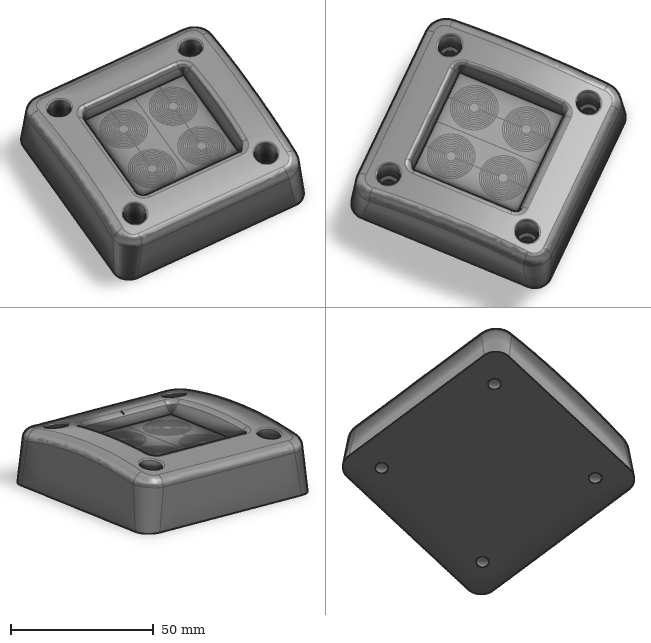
import cadquery as cq
import math

BASE_SIDE = 76.0
HEIGHT = 23.5
CROWN_RADIUS = 164.9
DRAFT_ANGLE = 3.0
BASE_CORNER_RADIUS = 6.1
TOP_CORNER_RADIUS = 8.35
RIM_FILLET = 4.0

WINDOW_SIDE = 40.0
FLOOR_HEIGHT = 17.1
WINDOW_DRAFT_ANGLE = 20.0
WINDOW_FLOOR_CORNER_RADIUS = 0.15
WINDOW_TOP_CORNER_RADIUS = 5.3
WINDOW_FILLET = 2.0

STRIP_COUNT = 4
MODULE_DEPTH = 3.8
LAYER_COUNT = 10
CORE_RADIUS = 1.75
LAYERS_RADIUS = 8.35

SCREW_OFFSET = 26.5
SCREW_DIAMETER = 4.5
COUNTERBORE_DIAMETER = 8.0
SEAT_HEIGHT = 9.9
COUNTERBORE_FILLET = 0.6

OVERLAP = 0.75

loft_top = HEIGHT + OVERLAP
module_bottom = FLOOR_HEIGHT - MODULE_DEPTH
strip_width = WINDOW_SIDE / STRIP_COUNT
module_offset = strip_width
layer_thickness = (LAYERS_RADIUS - CORE_RADIUS) / LAYER_COUNT


def corner_points(offset):
    return [(x, y) for x in (-offset, offset) for y in (-offset, offset)]


def rounded_square(side, radius, z):
    sketch = cq.Sketch().rect(side, side).vertices().fillet(radius)
    return sketch.moved(cq.Location(cq.Vector(0, 0, z)))


def square_loft(lower, upper):
    """Straight loft between two rounded squares."""
    return cq.Workplane("XY").placeSketch(lower, upper).loft(ruled=True)


def drafted_side(side, height, angle):
    """Side of a square after both walls have moved outwards by the draft."""
    return side + 2 * height * math.tan(math.radians(angle))


def crowned_frame():
    top_side = drafted_side(BASE_SIDE, -loft_top, DRAFT_ANGLE)
    block = square_loft(
        rounded_square(BASE_SIDE, BASE_CORNER_RADIUS, 0),
        rounded_square(top_side, TOP_CORNER_RADIUS, loft_top),
    )
    crown = (
        cq.Workplane("XZ", origin=(0, 0, HEIGHT - CROWN_RADIUS))
        .circle(CROWN_RADIUS)
        .extrude(BASE_SIDE, both=True)
    )
    return block.intersect(crown).faces(">Z").edges().fillet(RIM_FILLET)


def cut_screw_holes(body):
    centers = corner_points(SCREW_OFFSET)
    holes = cq.Workplane("XY").pushPoints(centers).circle(SCREW_DIAMETER / 2).extrude(HEIGHT)
    counterbores = (
        cq.Workplane("XY", origin=(0, 0, SEAT_HEIGHT))
        .pushPoints(centers)
        .circle(COUNTERBORE_DIAMETER / 2)
        .extrude(HEIGHT)
    )
    body = body.cut(holes).cut(counterbores)
    mouths = body.faces(">Z").val().innerWires()
    edges = [edge for mouth in mouths for edge in mouth.Edges()]
    return body.newObject(edges).fillet(COUNTERBORE_FILLET)


def cut_window(body):
    top_side = drafted_side(WINDOW_SIDE, loft_top - FLOOR_HEIGHT, WINDOW_DRAFT_ANGLE)
    window = square_loft(
        rounded_square(WINDOW_SIDE, WINDOW_FLOOR_CORNER_RADIUS, FLOOR_HEIGHT),
        rounded_square(top_side, WINDOW_TOP_CORNER_RADIUS, loft_top),
    )
    body = body.cut(window)
    mouth = max(body.faces(">Z").val().innerWires(), key=lambda wire: wire.Length())
    return body.newObject(mouth.Edges()).fillet(WINDOW_FILLET)


def module_disc(center, radius):
    return (
        cq.Workplane("XY", origin=(*center, module_bottom))
        .circle(radius)
        .extrude(MODULE_DEPTH)
    )


def module_block(width, center_y):
    return cq.Workplane("XY", origin=(0, center_y, module_bottom)).box(
        WINDOW_SIDE, width, MODULE_DEPTH, centered=(True, True, False)
    )


def module_strip(index):
    return module_block(strip_width, (index + 0.5) * strip_width - WINDOW_SIDE / 2)


def module_pieces():
    """Strips, half rings and cores that fill the window floor without gaps."""
    centers = corner_points(module_offset)
    strips = [module_strip(index) for index in range(STRIP_COUNT)]
    pieces = []
    for strip in strips:
        plain_strip = strip
        for center in centers:
            plain_strip = plain_strip.cut(module_disc(center, LAYERS_RADIUS))
        pieces.append(plain_strip)

    for center in centers:
        pieces.append(module_disc(center, CORE_RADIUS))
        for layer in range(LAYER_COUNT):
            inner_radius = CORE_RADIUS + layer * layer_thickness
            ring = module_disc(center, inner_radius + layer_thickness).cut(module_disc(center, inner_radius))
            pieces += [ring.intersect(strip) for strip in strips]
    return [solid for piece in pieces for solid in piece.solids().vals()]


def fit_modules(body):
    socket = module_block(WINDOW_SIDE, 0)
    seamed = body.cut(socket).val().fuse(*module_pieces())
    return cq.Workplane(seamed.Solids()[0])


result = fit_modules(cut_window(cut_screw_holes(crowned_frame())))